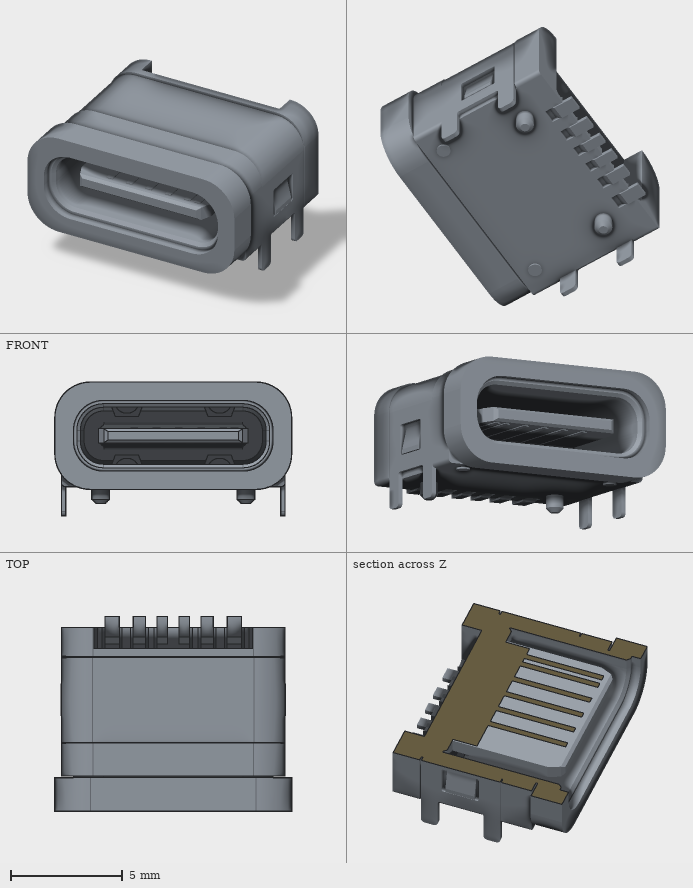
import cadquery as cq
import math


total_depth = 8.75
total_height = 6.01

flange_width = 10.64
flange_height = 4.83
flange_radius = 1.6
flange_depth = 1.51

port_width = 8.34
port_height = 2.56
port_radius = 1.04
tube_wall = 0.31
tube_recess = 0.42
mouth_bevel = 0.16
mouth_bevel_depth = 0.15
port_end = 6.2
back_bevel = 0.17

body_width = 10.05
collar_top = 2.32
body_bottom = -2.29
collar_radius = 1.42
collar_bottom_radius = 0.2
front_collar_start = 1.58
front_collar_end = 3.06
rear_collar_start = 6.96
body_rear = 8.26

cover_start = 3.085
cover_end = 6.90
cover_top = 2.22
cover_radius = 1.4
cover_thickness = 0.21
leg_notch_top = -2.01
cover_side_bottom = -2.2
leg_bottom = flange_height / 2 - total_height
leg_width = 0.81
leg_corner_radius = 0.2
leg_notch_radius = 0.12
core_width = body_width - 2 * cover_thickness
core_top = cover_top - cover_thickness

window_center_y = 5.01
window_width = 1.8
window_top = 0.13
window_bottom = -1.27
window_radius = 0.1
latch_width = 1.40
latch_top = -0.04
latch_ramp_end = -1.025
latch_bottom = -1.235
latch_reach = 5.045

tongue_width = 6.69
tongue_thickness = 0.64
tongue_front = 0.75
tongue_taper = 0.29
tongue_taper_length = 0.7
tongue_bevel = 0.12
tongue_bevel_depth = 0.15
base_height = 1.04
base_root_fillet = 0.08
base_corner = 0.24
base_front = 4.8
ramp_length = 0.3

strip_centers = [-1.75, -0.75, 0.25, 1.25, 2.25, 2.75]
strip_width = 0.3
strip_setback = 0.4
strip_height = 0.03

pad_spacing = 4.16
pad_root_width = 1.36
pad_tip_width = 1.04
pad_tip_z = 0.865
pad_depth = 0.3
bump_width = 0.96
bump_drop = 0.27
bump_depth = 0.15

peg_diameter = 0.8
peg_spacing = 6.52
peg_y = 6.39
peg_tip_bevel = 0.2
peg_bottom = -3.05
standoff_diameter = 0.62
standoff_spacing = 7.6
standoff_y = 2.4
standoff_bottom = -2.375

recess_width = 7.1
recess_front = 7.315
comb_floor = -2.0
comb_top = -1.86
contact_thickness = 0.215
contact_bottom = -2.375
contact_bend_start = 7.83
contact_bend_end = 7.51
contact_rise = 0.3
contact_rows = [(0.495, 0.49), (1.52, 0.57), (2.745, 0.65)]
comb_slope = 0.12
recess_edge_slope = 0.16


def box(x_start, x_end, y_start, y_end, z_start, z_end):
    """Box between two opposite corners."""
    size = (x_end - x_start, y_end - y_start, z_end - z_start)
    return cq.Workplane("XY").box(*size, centered=False).translate((x_start, y_start, z_start))


def front_plane(y):
    """Workplane at depth y whose positive extrusion runs toward the rear (+Y)."""
    return cq.Workplane(cq.Plane(origin=(0, y, 0), xDir=(-1, 0, 0), normal=(0, 1, 0)))


def rounded_bar(width, height, radius, y_start, y_end):
    """Bar along Y with a rounded rectangular section."""
    bar = front_plane(y_start).rect(width, height).extrude(y_end - y_start)
    return bar.edges("|Y").fillet(radius)


def arched_bar(width, top, bottom, radius, y_start, y_end):
    """Bar along Y with only its two upper corners rounded."""
    bar = box(-width / 2, width / 2, y_start, y_end, bottom, top)
    return bar.edges("|Y and >Z").fillet(radius)


def mirrored(solid):
    """The solid together with its mirror image across the middle plane X = 0."""
    return solid.union(solid.mirror("YZ"))


def make_collar(y_start, y_end):
    collar = arched_bar(body_width, collar_top, body_bottom, collar_radius, y_start, y_end)
    return collar.edges("|Y and <Z").fillet(collar_bottom_radius)


def make_leg(y_start):
    inner_x = body_width / 2 - cover_thickness
    leg = box(inner_x, body_width / 2, y_start, y_start + leg_width, leg_bottom, cover_side_bottom)
    return leg.edges("|X and <Z").fillet(leg_corner_radius)


def make_cover():
    """Metal cover over the housing: arch, and two legs on each side."""
    cover = arched_bar(body_width, cover_top, cover_side_bottom, cover_radius, cover_start, cover_end)
    rear_leg_start = cover_end - leg_width
    legs = make_leg(cover_start).union(make_leg(rear_leg_start))
    return cover.union(mirrored(legs))


def make_leg_notch():
    """Gap between the two legs of each cover side, with rounded upper corners."""
    inner_x = body_width / 2 - cover_thickness
    notch = box(
        inner_x, body_width / 2, cover_start + leg_width, cover_end - leg_width,
        leg_bottom, leg_notch_top,
    )
    return mirrored(notch.edges("|X and >Z").fillet(leg_notch_radius))


def make_windows():
    window = box(
        body_width / 2 - cover_thickness, body_width / 2,
        window_center_y - window_width / 2, window_center_y + window_width / 2,
        window_bottom, window_top,
    )
    return mirrored(window.edges("|X").fillet(window_radius))


def make_latches():
    """Wedge in each window, rising outward toward its lower end."""
    inner_x = body_width / 2 - cover_thickness
    profile = [
        (inner_x, latch_top),
        (latch_reach, latch_ramp_end),
        (latch_reach, latch_bottom),
        (inner_x, latch_bottom),
    ]
    wedge = cq.Workplane("XZ").polyline(profile).close().extrude(latch_width / 2, both=True)
    return mirrored(wedge.translate((0, window_center_y, 0)))


def make_body():
    body = rounded_bar(flange_width, flange_height, flange_radius, 0, flange_depth)
    tube_width = port_width + 2 * tube_wall
    tube_height = port_height + 2 * tube_wall
    tube_radius = port_radius + tube_wall
    body = body.union(rounded_bar(tube_width, tube_height, tube_radius, tube_recess, front_collar_end))
    body = body.union(make_collar(front_collar_start, front_collar_end))
    body = body.union(make_collar(rear_collar_start, body_rear))
    core = arched_bar(core_width, core_top, body_bottom, cover_radius, front_collar_start, body_rear)
    body = body.union(core).union(make_cover())
    body = body.cut(make_leg_notch()).cut(make_windows()).union(make_latches())
    return body.cut(rounded_bar(tube_width, tube_height, tube_radius, 0, tube_recess))


def make_port():
    """Port cavity with a bevelled mouth; the back wall stands forward with bevelled edges."""
    cavity = rounded_bar(port_width, port_height, port_radius, tube_recess, port_end)
    block_front = port_end - back_bevel
    block_rear = port_end + back_bevel
    back_block = rounded_bar(port_width, port_height, port_radius, block_front, block_rear)
    cavity = cavity.cut(back_block.faces("<Y").chamfer(back_bevel))
    mouth = rounded_bar(
        port_width + 2 * mouth_bevel, port_height + 2 * mouth_bevel, port_radius + mouth_bevel,
        tube_recess - mouth_bevel_depth, tube_recess + mouth_bevel_depth,
    )
    mouth = mouth.faces(">Y").chamfer(mouth_bevel_depth, mouth_bevel)
    return cavity.union(mouth)


def make_tongue():
    """Thin bevelled tongue, tapered in plan at its tip, on a thicker octagonal base."""
    tip_width = tongue_width - 2 * tongue_taper
    plan = [
        (-tip_width / 2, tongue_front),
        (tip_width / 2, tongue_front),
        (tongue_width / 2, tongue_front + tongue_taper_length),
        (tongue_width / 2, port_end),
        (-tongue_width / 2, port_end),
        (-tongue_width / 2, tongue_front + tongue_taper_length),
    ]
    blade = cq.Workplane("XY").polyline(plan).close().extrude(tongue_thickness / 2, both=True)
    blade = blade.faces("<Y").chamfer(tongue_bevel, tongue_bevel_depth)
    base = front_plane(base_front).rect(tongue_width, base_height).extrude(port_end - base_front)
    base = base.edges("|Y").chamfer(base_corner)
    base_step = (base_height - tongue_thickness) / 2
    base = base.faces("<Y").edges("|X").chamfer(ramp_length, base_step)
    return blade.union(base).union(make_root_fillets())


def make_root_fillets():
    """Concave fillets between the tongue base and the back wall, above and below."""
    wall_y = port_end - back_bevel
    base_z = base_height / 2
    tip_y = wall_y - base_root_fillet
    tip_z = base_z + base_root_fillet
    arc_offset = base_root_fillet * math.sqrt(0.5)
    fillet = (
        cq.Workplane("YZ")
        .moveTo(tip_y, base_z)
        .threePointArc((tip_y + arc_offset, tip_z - arc_offset), (wall_y, tip_z))
        .lineTo(wall_y, base_z)
        .close()
        .extrude(tongue_width / 2 - base_corner, both=True)
    )
    return fillet.union(fillet.mirror("XY"))


def make_strips():
    """Contact strips slightly proud of the upper tongue face, and the same turned half over below."""
    strips = cq.Workplane("XY")
    for x in strip_centers:
        strips = strips.union(box(
            x - strip_width / 2, x + strip_width / 2,
            tongue_front + strip_setback, base_front + ramp_length,
            0, tongue_thickness / 2 + strip_height,
        ))
    return strips.union(strips.rotate((0, 0, 0), (0, 1, 0), 180))


def make_spring_pads():
    """Four trapezoidal pads on the back wall, each with a rounded bump against the port wall."""
    root_z = port_height / 2
    profile = [
        (-pad_root_width / 2, root_z),
        (-pad_tip_width / 2, pad_tip_z),
        (pad_tip_width / 2, pad_tip_z),
        (pad_root_width / 2, root_z),
    ]
    pad_front = port_end - back_bevel - pad_depth
    pad = front_plane(pad_front).polyline(profile).close().extrude(pad_depth + back_bevel)
    bump = (
        front_plane(pad_front - bump_depth)
        .moveTo(-bump_width / 2, root_z)
        .threePointArc((0, root_z - bump_drop), (bump_width / 2, root_z))
        .close()
        .extrude(bump_depth)
    )
    pad = pad.union(bump).translate((pad_spacing / 2, 0, 0))
    upper_pads = mirrored(pad)
    return upper_pads.union(upper_pads.mirror("XY"))


def make_pegs():
    """Two locating pegs with bevelled tips."""
    peg = cq.Workplane("XY").workplane(offset=peg_bottom).center(peg_spacing / 2, peg_y)
    peg = peg.circle(peg_diameter / 2).extrude(body_bottom - peg_bottom)
    return mirrored(peg.faces("<Z").chamfer(peg_tip_bevel))


def make_standoffs():
    """Two shallow round feet under the front collar."""
    foot = cq.Workplane("XY").workplane(offset=standoff_bottom).center(standoff_spacing / 2, standoff_y)
    return mirrored(foot.circle(standoff_diameter / 2).extrude(body_bottom - standoff_bottom))


def make_ridge(foot_start, top_start, top_end, foot_end):
    """Ridge along Y on the recess floor, given by the X positions of its feet and its top."""
    profile = [
        (-foot_start, comb_floor),
        (-top_start, comb_top),
        (-top_end, comb_top),
        (-foot_end, comb_floor),
    ]
    return front_plane(recess_front).polyline(profile).close().extrude(body_rear - recess_front)


def make_rear_recess():
    """Recess open to the top and rear, with ridges under the contacts and sloped side edges."""
    half_width = recess_width / 2
    recess = box(-half_width, half_width, recess_front, body_rear, comb_floor, collar_top)
    (inner_x, inner_width), *outer_rows = contact_rows
    center_half = inner_x + inner_width / 2
    ridges = make_ridge(
        -center_half - comb_slope, -center_half, center_half, center_half + comb_slope,
    )
    for x, width in outer_rows:
        start = x - width / 2
        end = x + width / 2
        ridges = ridges.union(mirrored(make_ridge(start - comb_slope, start, end, end + comb_slope)))
    foot_x = half_width - recess_edge_slope
    edge_profile = [(foot_x, comb_floor), (half_width, comb_top), (half_width, comb_floor)]
    edge = front_plane(recess_front).polyline(edge_profile).close().extrude(body_rear - recess_front)
    ridges = ridges.union(mirrored(edge))
    return recess.cut(ridges)


def make_contact(x, width):
    """Rear contact: a flat solder tail that bends up into the housing."""
    tail_top = contact_bottom + contact_thickness
    upper_bottom = contact_bottom + contact_rise
    upper_top = tail_top + contact_rise
    profile = [
        (total_depth, contact_bottom),
        (total_depth, tail_top),
        (contact_bend_start, tail_top),
        (contact_bend_end, upper_top),
        (recess_front, upper_top),
        (recess_front, upper_bottom),
        (contact_bend_end, upper_bottom),
        (contact_bend_start, contact_bottom),
    ]
    contact = cq.Workplane("YZ").polyline(profile).close().extrude(width / 2, both=True)
    return contact.translate((x, 0, 0))


def make_contacts():
    contacts = cq.Workplane("XY")
    for x, width in contact_rows:
        contacts = contacts.union(mirrored(make_contact(x, width)))
    return contacts


def make_contact_slots():
    """Slots through the ridges that expose the contacts from above."""
    slots = cq.Workplane("XY")
    for x, width in contact_rows:
        slot = box(x - width / 2, x + width / 2, recess_front, body_rear, contact_bottom, collar_top)
        slots = slots.union(mirrored(slot))
    return slots


result = make_body().cut(make_port())
result = result.union(make_tongue()).union(make_strips()).union(make_spring_pads())
result = result.union(make_pegs()).union(make_standoffs())
result = result.cut(make_rear_recess()).cut(make_contact_slots()).union(make_contacts())